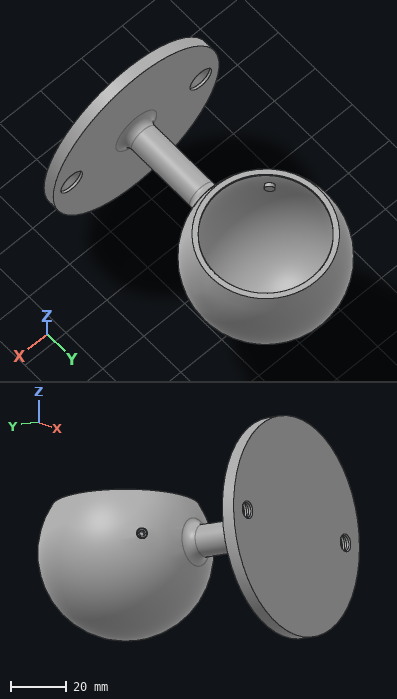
import cadquery as cq
import math

overall_length = 106.8

plate_diameter = 81.0
plate_thickness = 5.0

mount_hole_diameter = 5.5
mount_hole_spacing = 63.0
mount_hole_chamfer = 0.48
head_diameter = 10.5
head_recess_depth = 1.1

stem_diameter = 12.0
stem_fillet = 4.0

ball_diameter = 63.8
rim_height = 17.5
rim_inner_diameter = 48.9
rim_bore_depth = 1.0

screw_diameter = 4.0
screw_end_diameter = 3.3
screw_angle = 45.0
socket_width = 2.0
socket_depth = 2.1
screw_length = 4.0

plate_radius = plate_diameter / 2
ball_radius = ball_diameter / 2
ball_y = overall_length - ball_radius
ball_center = cq.Vector(0, ball_y, 0)
cavity_radius = math.hypot(rim_inner_diameter / 2, rim_height - rim_bore_depth)

screw_direction = cq.Vector(
    -math.sin(math.radians(screw_angle)),
    -math.cos(math.radians(screw_angle)),
    0,
)
screw_face_distance = math.sqrt(ball_radius**2 - (screw_end_diameter / 2) ** 2)


def revolve_about_y(outline):
    return outline.revolve(360, (0, 0, 0), (0, 1, 0))


def make_sphere(radius):
    return cq.Workplane("XY").sphere(radius).translate(ball_center)


def make_plate_and_stem():
    """Plate and stem as one turned shape, blended into the plate and the ball by fillets."""
    stem_radius = stem_diameter / 2
    fillet_axis = stem_radius + stem_fillet
    plate_fillet_y = plate_thickness + stem_fillet
    diagonal = stem_fillet * math.sqrt(0.5)

    tangent_distance = ball_radius + stem_fillet
    drop = math.sqrt(tangent_distance**2 - fillet_axis**2)
    ball_fillet_y = ball_y - drop
    contact_ratio = ball_radius / tangent_distance
    ball_contact = (fillet_axis * contact_ratio, ball_y - drop * contact_ratio)
    contact_angle = math.atan2(drop, -fillet_axis)
    middle_angle = (math.pi + contact_angle) / 2
    ball_fillet_middle = (
        fillet_axis + stem_fillet * math.cos(middle_angle),
        ball_fillet_y + stem_fillet * math.sin(middle_angle),
    )

    outline = (
        cq.Workplane("XY")
        .lineTo(plate_radius, 0)
        .lineTo(plate_radius, plate_thickness)
        .lineTo(fillet_axis, plate_thickness)
        .threePointArc(
            (fillet_axis - diagonal, plate_fillet_y - diagonal),
            (stem_radius, plate_fillet_y),
        )
        .lineTo(stem_radius, ball_fillet_y)
        .threePointArc(ball_fillet_middle, ball_contact)
        .lineTo(0, ball_y)
        .close()
    )
    return revolve_about_y(outline)


def make_mount_hole():
    """Cutter for one hole: chamfered at the outer face, countersunk from the stem side."""
    hole_radius = mount_hole_diameter / 2
    head_radius = head_diameter / 2
    head_floor_y = plate_thickness - head_recess_depth
    cone_start_y = head_floor_y - (head_radius - hole_radius)
    outline = (
        cq.Workplane("XY")
        .lineTo(hole_radius + mount_hole_chamfer, 0)
        .lineTo(hole_radius, mount_hole_chamfer)
        .lineTo(hole_radius, cone_start_y)
        .lineTo(head_radius, head_floor_y)
        .lineTo(head_radius, plate_thickness)
        .lineTo(0, plate_thickness)
        .close()
    )
    return revolve_about_y(outline)


def make_bracket():
    """Plate, stem and ball cup in one piece."""
    above_rim = (
        cq.Workplane("XY", origin=(0, ball_y, rim_height))
        .rect(ball_diameter, ball_diameter)
        .extrude(ball_radius)
    )
    bracket = make_sphere(ball_radius).union(make_plate_and_stem())
    rim_bore = (
        cq.Workplane("XY", origin=(0, ball_y, 0))
        .circle(rim_inner_diameter / 2)
        .extrude(rim_height)
    )
    bracket = bracket.cut(above_rim).cut(make_sphere(cavity_radius)).cut(rim_bore)
    for side in (-1, 1):
        bracket = bracket.cut(make_mount_hole().translate((side * mount_hole_spacing / 2, 0, 0)))
    screw_hole = cq.Solid.makeCylinder(screw_diameter / 2, ball_radius, ball_center, screw_direction)
    return bracket.cut(cq.Workplane(obj=screw_hole))


def make_set_screw():
    """Set screw with a chamfered outer end and a hexagon socket."""
    outer_face = cq.Plane(
        origin=ball_center + screw_direction * screw_face_distance,
        xDir=cq.Vector(0, 0, 1).cross(screw_direction),
        normal=screw_direction,
    )
    chamfer = (screw_diameter - screw_end_diameter) / 2
    across_corners = socket_width / math.cos(math.pi / 6)
    return (
        cq.Workplane(outer_face)
        .circle(screw_diameter / 2)
        .extrude(-screw_length)
        .edges(cq.selectors.DirectionMinMaxSelector(screw_direction))
        .chamfer(chamfer)
        .cut(cq.Workplane(outer_face).polygon(6, across_corners).extrude(-socket_depth))
    )


bracket = make_bracket()
set_screw = make_set_screw()

result = cq.Compound.makeCompound([bracket.val(), set_screw.val()])